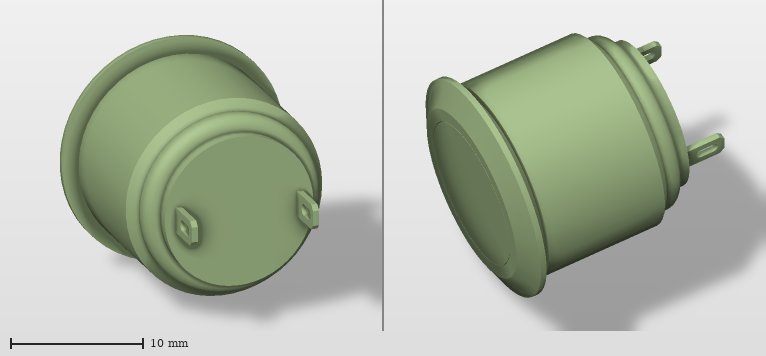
import cadquery as cq
import math

BEVEL_END = 1.0
FLANGE_END = 1.5
NECK_END = 2.3
BARREL_END = 12.3
TAPER_END = 13.0
COLLAR_END = 14.5
BOSS_END = 15.5
OVERALL_LENGTH = 19.0

FACE_DIAMETER = 14.0
FLANGE_DIAMETER = 18.0
NECK_DIAMETER = 14.6
BARREL_DIAMETER = 15.9
COLLAR_DIAMETER = 14.3
BOSS_DIAMETER = 12.0
COLLAR_ROUND = 1.0

POCKET_DIAMETER = 11.9
BUTTON_DIAMETER = 11.8
BUTTON_THICKNESS = FLANGE_END

TERMINAL_OFFSET = 4.9
TERMINAL_THICKNESS = 0.5
TERMINAL_WIDTH = 2.0
TERMINAL_CORNER_CHAMFER = 0.4
SLOT_LENGTH = 1.9
SLOT_WIDTH = 0.9
SLOT_CENTER_X = 17.5


def make_turned_shell():
    """Revolve the half profile of the housing about the X axis."""
    collar_radius = COLLAR_DIAMETER / 2
    round_inset = COLLAR_ROUND * (1 - math.sqrt(0.5))
    return (
        cq.Workplane("XY")
        .lineTo(0, FACE_DIAMETER / 2)
        .lineTo(BEVEL_END, FLANGE_DIAMETER / 2)
        .lineTo(FLANGE_END, FLANGE_DIAMETER / 2)
        .lineTo(FLANGE_END, NECK_DIAMETER / 2)
        .lineTo(NECK_END, NECK_DIAMETER / 2)
        .lineTo(NECK_END, BARREL_DIAMETER / 2)
        .lineTo(BARREL_END, BARREL_DIAMETER / 2)
        .lineTo(TAPER_END, collar_radius)
        .lineTo(COLLAR_END - COLLAR_ROUND, collar_radius)
        .threePointArc(
            (COLLAR_END - round_inset, collar_radius - round_inset),
            (COLLAR_END, collar_radius - COLLAR_ROUND),
        )
        .lineTo(COLLAR_END, BOSS_DIAMETER / 2)
        .lineTo(BOSS_END, BOSS_DIAMETER / 2)
        .lineTo(BOSS_END, 0)
        .close()
        .revolve(360, (0, 0, 0), (1, 0, 0))
    )


def make_front_disc(diameter):
    """Disc as thick as the button, starting at the front face."""
    return cq.Workplane("YZ").circle(diameter / 2).extrude(BUTTON_THICKNESS)


def make_terminal(y_center):
    """Flat slotted tab standing on the rear face of the boss."""
    tab_length = OVERALL_LENGTH - BOSS_END
    slot = (
        cq.Workplane("XZ")
        .center(SLOT_CENTER_X, 0)
        .slot2D(SLOT_LENGTH, SLOT_WIDTH)
        .extrude(TERMINAL_THICKNESS, both=True)
    )
    return (
        cq.Workplane("XY")
        .box(tab_length, TERMINAL_THICKNESS, TERMINAL_WIDTH)
        .edges("|Y and >X")
        .chamfer(TERMINAL_CORNER_CHAMFER)
        .translate((BOSS_END + tab_length / 2, 0, 0))
        .cut(slot)
        .translate((0, y_center, 0))
    )


def make_housing():
    """Turned shell with a front pocket and two rear terminals."""
    housing = make_turned_shell().cut(make_front_disc(POCKET_DIAMETER))
    for y_center in (-TERMINAL_OFFSET, TERMINAL_OFFSET):
        housing = housing.union(make_terminal(y_center))
    return housing


def make_button():
    """Round button, flush with the face and seated on the pocket floor."""
    return make_front_disc(BUTTON_DIAMETER)


housing = make_housing()
button = make_button()

result = cq.Compound.makeCompound([housing.val(), button.val()])